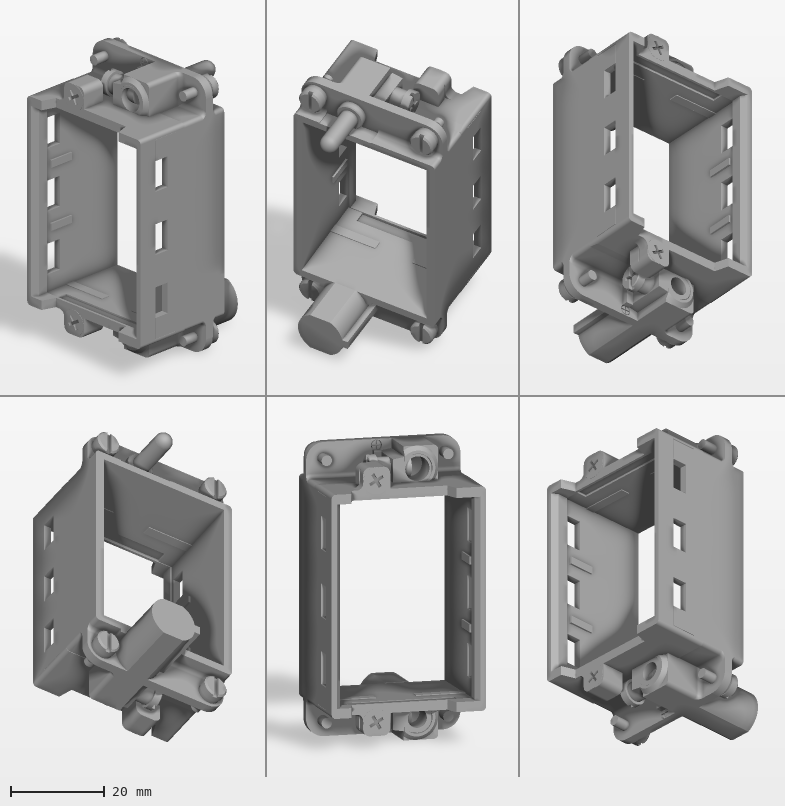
import cadquery as cq
import math

WIDTH = 34.3
HEIGHT = 64.0
FRAME_DEPTH = 25.2
FRAME_HALF = 24.4
EDGE_ROUND = 0.9
OPENING_HALF = 22.2
LIP_HALF = 15.0
MOUTH_HALF = 15.95
LIP_START = 1.35
LIP_END = 3.85
BAY_FRONT_HALF = 15.5
BAY_REAR_HALF = 15.2
BAY_TOP = 22.4
STEP_Y = 13.3
RAMP_Y = 11.25
STEP_DEPTH = 0.1
WALL_TOP = FRAME_HALF - STEP_DEPTH

NOTCH_DEPTH = 3.25
NOTCH_LEFT, NOTCH_RIGHT = -12.8, 10.55
NOTCH_SLOPE = 1.1

WINDOW_Y, WINDOW_DEPTH, WINDOW_HEIGHT = 4.5, 3.7, 7.2
WINDOW_PITCH = 14.7
RIB_Y, RIB_WIDTH, RIB_START_X = 9.9, 2.2, 4.5
WALL_RIB_Y, WALL_RIB_LENGTH, WALL_RIB_HEIGHT = 5.1, 6.2, 1.7
CHANNEL_END, CHANNEL_DEPTH, CHANNEL_HALF = 6.6, 0.5, 12.0
LINE_Y, LINE_END_Y, LINE_Z, LINE_WIDTH, LINE_DEPTH = 4.35, 10.55, 23.2, 0.1, 0.1

FLANGE_Y, FLANGE_REAR = 19.7, 21.75
FLANGE_ROUND = 4.0
ROOT_FILLET = 0.95
SCREW_X, SCREW_Z = 13.5, 28.55
SHAFT_R, SHAFT_TIP_Y = 1.15, 16.4
WASHER_R, HEAD_R = 2.6, 2.75
HEAD_Y, HEAD_REAR, HEAD_CHAMFER = 22.7, 24.8, 0.4
SLOT_WIDTH, SLOT_DEPTH = 1.0, 0.8

TERMINAL_X, TERMINAL_Z = 4.6, 27.15
TERMINAL_R, TERMINAL_LEFT, TERMINAL_LEFT_TOP = 3.2, -0.8, 29.45
TERMINAL_FRONT = 9.5
BORE_UPPER_R, BORE_LOWER_R, BORE_DEPTH = 2.7, 2.1, 5.75
HOOD_LEFT, HOOD_RIGHT, HOOD_FRONT = 1.8, 9.5, 10.25
COLLAR_FRONT, COLLAR_INNER_R = 9.35, 3.3
HOOD_ROUND = 1.0
TAB_LEFT, TAB_FRONT, TAB_TOP = -2.4, 18.25, 29.75
CLAMP_Y, CLAMP_Z = 13.25, 27.1
CLAMP_HEAD_LEFT, CLAMP_HEAD_RIGHT, CLAMP_HEAD_R = -5.6, -3.7, 2.95
CLAMP_SHAFT_R, CLAMP_TIP_X = 2.3, 3.85
CLAMP_CHAMFER = 0.2
CLAMP_SLOT_LENGTH, CLAMP_SLOT_HEIGHT = 3.3, 0.8
LOCK_X, LOCK_Z, LOCK_DEPTH = -1.55, 30.65, 0.8
LOCK_HOLE_R, LOCK_SCREW_R = 1.2, 1.0
LOCK_SLOT_WIDTH, LOCK_SLOT_DEPTH = 0.3, 0.4

POST_LEFT, POST_RIGHT, POST_TOP = -9.2, -3.2, 29.25
POST_ROUND = 1.55
POST_FRONT, POST_BACK = 3.25, 9.0
FOOT_R, FOOT_END = 1.5, 5.9
POST_GROOVE_WIDTH, POST_GROOVE_DEPTH = 0.45, 0.2
FIXING_X, FIXING_Z, FIXING_R = -6.3, 26.3, 2.95
FIXING_FRONT, FIXING_DEPTH = 3.2, 1.0
CROSS_LENGTH, CROSS_WIDTH, CROSS_DEPTH, CROSS_ANGLE = 3.3, 0.7, 0.8, 30

PIN_R, PIN_TIP_Y = 2.05, 34.25
PIN_COLLAR_R, PIN_COLLAR_REAR, PIN_COLLAR_CHAMFER = 3.15, 23.35, 0.2
BUSH_R, BUSH_FLAT, BUSH_REAR = 5.45, 4.85, 36.35
KEY_LEFT, KEY_THICKNESS = -2.05, 2.05
PLATFORM_LEFT, PLATFORM_RIGHT, PLATFORM_TOP = -1.6, 10.9, 25.1
SEAT_DEPTH = 0.2


def block(x0, x1, y0, y1, z0, z1):
    return cq.Workplane("XY").box(x1 - x0, y1 - y0, z1 - z0, centered=False).translate((x0, y0, z0))


def rod_y(x, z, radius, y0, y1):
    """Cylinder along Y."""
    return cq.Workplane("XZ", origin=(x, y0, z)).circle(radius).extrude(y0 - y1)


def rod_x(y, z, radius, x0, x1):
    """Cylinder along X."""
    return cq.Workplane("YZ", origin=(x0, y, z)).circle(radius).extrude(x1 - x0)


def prism_z(points, z0, z1):
    """Polygon in XY, extruded along Z."""
    return cq.Workplane("XY", origin=(0, 0, z0)).polyline(points).close().extrude(z1 - z0)


def both_ends(shape):
    return shape.union(shape.mirror("XY"))


def both_sides(shape):
    return shape.union(shape.mirror("YZ"))


def concave_fillet(plane, origin, du, dv, radius, length):
    """Filler for an inside corner at the plane origin; du and dv are the signs of its two legs."""
    mid = radius * (1 - math.sqrt(0.5))
    return (
        cq.Workplane(plane, origin=origin)
        .lineTo(du * radius, 0)
        .threePointArc((du * mid, dv * mid), (0, dv * radius))
        .close()
        .extrude(length)
    )


def rounded_root(x, z, corner_r, y, direction):
    """Root fillet around a rounded corner centred at (x, z), against the flange face at Y = y."""
    mid = ROOT_FILLET * (1 - math.sqrt(0.5))
    return (
        cq.Workplane("XY", origin=(x, y, z))
        .moveTo(corner_r, 0)
        .lineTo(corner_r + ROOT_FILLET, 0)
        .threePointArc((corner_r + mid, direction * mid), (corner_r, direction * ROOT_FILLET))
        .close()
        .revolve(90, (0, 0, 0), (0, -1, 0))
    )


def frame_outside():
    half = WIDTH / 2
    body = block(-half, half, 0, FRAME_DEPTH, -WALL_TOP, WALL_TOP).edges("|Y").fillet(EDGE_ROUND)
    raised = block(-half, half, 0, STEP_Y, -FRAME_HALF, FRAME_HALF).edges("|Y").fillet(EDGE_ROUND)
    ramp_cut = (
        cq.Workplane("YZ", origin=(-half, 0, 0))
        .polyline([(RAMP_Y, FRAME_HALF), (STEP_Y, WALL_TOP), (STEP_Y, FRAME_HALF)])
        .close()
        .extrude(half + HOOD_LEFT)
    )
    body = body.union(raised.cut(both_ends(ramp_cut)))

    flange = block(-half, half, FLANGE_Y, FLANGE_REAR, -HEIGHT / 2, HEIGHT / 2)
    body = body.union(flange.edges("|Y").fillet(FLANGE_ROUND))

    edge = half - EDGE_ROUND
    roots = cq.Workplane("XY")
    for y, direction in ((FLANGE_Y, -1), (FLANGE_REAR, 1)):
        corner = rounded_root(edge, WALL_TOP - EDGE_ROUND, EDGE_ROUND, y, direction)
        strip = concave_fillet("YZ", (-edge, y, WALL_TOP), direction, 1, ROOT_FILLET, 2 * edge)
        roots = roots.union(strip).union(corner).union(corner.mirror("YZ"))
    roots = roots.intersect(block(-half, half, 0, FRAME_DEPTH, 0, HEIGHT / 2))
    roots = roots.cut(block(PLATFORM_LEFT, PLATFORM_RIGHT, FLANGE_REAR, FRAME_DEPTH, 0, HEIGHT / 2))
    body = body.union(both_ends(roots))
    seat = block(
        PLATFORM_LEFT, PLATFORM_RIGHT, FLANGE_REAR, FRAME_DEPTH, WALL_TOP - SEAT_DEPTH, WALL_TOP
    )
    return body.cut(seat)


def cavity():
    """Flared mouth, lips and the wider bay behind them, less the ribs that guide the modules."""
    mouth = [
        (-MOUTH_HALF, 0),
        (MOUTH_HALF, 0),
        (LIP_HALF, LIP_START),
        (LIP_HALF, LIP_END),
        (-LIP_HALF, LIP_END),
        (-LIP_HALF, LIP_START),
    ]
    bay = [
        (-BAY_FRONT_HALF, LIP_END),
        (BAY_FRONT_HALF, LIP_END),
        (BAY_REAR_HALF, FRAME_DEPTH),
        (-BAY_REAR_HALF, FRAME_DEPTH),
    ]
    space = prism_z(mouth, -OPENING_HALF, OPENING_HALF).union(prism_z(bay, -BAY_TOP, BAY_TOP))

    end_rib = block(RIB_START_X, MOUTH_HALF, RIB_Y, RIB_Y + RIB_WIDTH, OPENING_HALF, BAY_TOP)
    middle = WINDOW_PITCH / 2
    side_rib = block(
        LIP_HALF, MOUTH_HALF, WALL_RIB_Y, WALL_RIB_Y + WALL_RIB_LENGTH,
        middle - WALL_RIB_HEIGHT / 2, middle + WALL_RIB_HEIGHT / 2,
    )
    return space.cut(both_ends(both_sides(end_rib.union(side_rib))))


def front_notches():
    outline = [
        (NOTCH_LEFT, 0),
        (NOTCH_LEFT + NOTCH_SLOPE, NOTCH_DEPTH),
        (NOTCH_RIGHT - NOTCH_SLOPE, NOTCH_DEPTH),
        (NOTCH_RIGHT, 0),
    ]
    return prism_z(outline, -FRAME_HALF, FRAME_HALF)


def wall_cuts():
    half = WIDTH / 2
    cuts = front_notches()
    for row in (-1, 0, 1):
        z = row * WINDOW_PITCH
        cuts = cuts.union(block(
            -half, half, WINDOW_Y, WINDOW_Y + WINDOW_DEPTH, z - WINDOW_HEIGHT / 2, z + WINDOW_HEIGHT / 2
        ))
    channel_top = BAY_TOP + CHANNEL_DEPTH
    cuts = cuts.union(block(
        -CHANNEL_HALF, CHANNEL_HALF, LIP_END, CHANNEL_END, -channel_top, channel_top
    ))
    window_end = WINDOW_PITCH + WINDOW_HEIGHT / 2
    for x in (-half, half - LINE_DEPTH):
        upright = block(x, x + LINE_DEPTH, LINE_Y, LINE_Y + LINE_WIDTH, window_end, LINE_Z + LINE_WIDTH)
        level = block(x, x + LINE_DEPTH, LINE_Y, LINE_END_Y, LINE_Z, LINE_Z + LINE_WIDTH)
        cuts = cuts.union(both_ends(upright.union(level)))
    return cuts


def flange_screw(x, z):
    shaft = rod_y(x, z, SHAFT_R, SHAFT_TIP_Y, HEAD_Y)
    washer = rod_y(x, z, WASHER_R, FLANGE_REAR, HEAD_Y)
    head = rod_y(x, z, HEAD_R, HEAD_Y, HEAD_REAR).faces(">Y").chamfer(HEAD_CHAMFER)
    slot = block(
        x - SLOT_WIDTH / 2, x + SLOT_WIDTH / 2, HEAD_REAR - SLOT_DEPTH, HEAD_REAR, z - HEAD_R, z + HEAD_R
    )
    return shaft.union(washer).union(head.cut(slot))


def cross(x, z, y, length, width, depth, angle):
    """Two crossed bars sunk from Y = y, for a screw drive."""
    bars = block(-length / 2, length / 2, y, y + depth, -width / 2, width / 2)
    bars = bars.union(bars.rotate((0, 0, 0), (0, 1, 0), 90))
    return bars.rotate((0, 0, 0), (0, 1, 0), -angle).translate((x, 0, z))


def terminal_hood():
    hood = block(HOOD_LEFT, HOOD_RIGHT, HOOD_FRONT, FLANGE_Y, WALL_TOP, HEIGHT / 2)
    hood = hood.edges("|Y and >X and >Z").fillet(HOOD_ROUND)
    corner_z = HEIGHT / 2 - HOOD_ROUND
    root = concave_fillet(
        "XY", (HOOD_RIGHT, FLANGE_Y, WALL_TOP), 1, -1, ROOT_FILLET, corner_z - WALL_TOP
    )
    corner = rounded_root(HOOD_RIGHT - HOOD_ROUND, corner_z, HOOD_ROUND, FLANGE_Y, -1)
    root = root.union(corner.intersect(block(
        HOOD_LEFT, WIDTH / 2, HOOD_FRONT, FLANGE_Y, corner_z, HEIGHT / 2
    )))
    outer_r = HEIGHT / 2 - TERMINAL_Z
    drop = HOOD_FRONT - COLLAR_FRONT
    collar = (
        cq.Workplane("XZ", origin=(TERMINAL_X, HOOD_FRONT, TERMINAL_Z))
        .circle(outer_r)
        .workplane(offset=drop)
        .circle(outer_r - drop)
        .loft()
    )
    collar = collar.intersect(block(
        HOOD_LEFT, HOOD_RIGHT, COLLAR_FRONT, HOOD_FRONT, WALL_TOP, HEIGHT / 2
    ))
    recess = rod_y(TERMINAL_X, TERMINAL_Z, COLLAR_INNER_R, COLLAR_FRONT, HOOD_FRONT)
    gap = block(HOOD_LEFT, TERMINAL_X, COLLAR_FRONT, HOOD_FRONT, WALL_TOP, TERMINAL_Z)
    return hood.union(root).union(collar.cut(recess).cut(gap))


def terminal_body():
    top = TERMINAL_Z + TERMINAL_R
    right = TERMINAL_X + TERMINAL_R
    diagonal = TERMINAL_R * math.sqrt(0.5)
    body = (
        cq.Workplane("XZ", origin=(0, TERMINAL_FRONT, 0))
        .moveTo(TERMINAL_LEFT, WALL_TOP)
        .lineTo(TERMINAL_LEFT, TERMINAL_LEFT_TOP)
        .lineTo(TERMINAL_X, top)
        .threePointArc((TERMINAL_X + diagonal, TERMINAL_Z + diagonal), (right, TERMINAL_Z))
        .lineTo(right, WALL_TOP)
        .close()
        .extrude(TERMINAL_FRONT - FLANGE_Y)
    )
    tab = block(TAB_LEFT, TERMINAL_LEFT, TAB_FRONT, FLANGE_Y, WALL_TOP, TAB_TOP)
    return body.union(tab)


def bore(radius):
    """Blind bore with a conical end."""
    return (
        cq.Workplane("XY")
        .polyline([
            (0, COLLAR_FRONT),
            (radius, COLLAR_FRONT),
            (radius, TERMINAL_FRONT + BORE_DEPTH),
            (0, TERMINAL_FRONT + BORE_DEPTH + radius),
        ])
        .close()
        .revolve(360, (0, 0, 0), (0, 1, 0))
        .translate((TERMINAL_X, 0, TERMINAL_Z))
    )


def clamp_screw():
    head = rod_x(CLAMP_Y, CLAMP_Z, CLAMP_HEAD_R, CLAMP_HEAD_LEFT, CLAMP_HEAD_RIGHT)
    head = head.faces("<X").chamfer(CLAMP_CHAMFER)
    slot_end = CLAMP_HEAD_LEFT + SLOT_DEPTH
    half = SLOT_WIDTH / 2
    upright = block(
        CLAMP_HEAD_LEFT, slot_end, CLAMP_Y - half, CLAMP_Y + half,
        CLAMP_Z - CLAMP_HEAD_R, CLAMP_Z + CLAMP_HEAD_R,
    )
    level = block(
        CLAMP_HEAD_LEFT, slot_end, CLAMP_Y - CLAMP_SLOT_LENGTH / 2, CLAMP_Y + CLAMP_SLOT_LENGTH / 2,
        CLAMP_Z - CLAMP_SLOT_HEIGHT / 2, CLAMP_Z + CLAMP_SLOT_HEIGHT / 2,
    )
    shaft = rod_x(CLAMP_Y, CLAMP_Z, CLAMP_SHAFT_R, CLAMP_HEAD_RIGHT, CLAMP_TIP_X)
    return head.cut(upright).cut(level).union(shaft)


def screw_post():
    """Rounded post on the end wall, with a concave foot on its left and the head of its screw."""
    base = BAY_TOP + CHANNEL_DEPTH
    post = block(POST_LEFT, POST_RIGHT, POST_FRONT, POST_BACK, base, POST_TOP)
    post = post.edges("|Y and >Z").fillet(POST_ROUND)
    groove = block(
        POST_LEFT, POST_LEFT + POST_GROOVE_DEPTH, FOOT_END, FOOT_END + POST_GROOVE_WIDTH,
        FRAME_HALF, POST_TOP,
    )
    post = post.cut(groove)
    foot = concave_fillet("XZ", (POST_LEFT, FOOT_END, FRAME_HALF), -1, 1, FOOT_R, FOOT_END - POST_FRONT)
    disc = rod_y(FIXING_X, FIXING_Z, FIXING_R, FIXING_FRONT, FIXING_FRONT + FIXING_DEPTH)
    return post.union(foot).union(disc)


def lock_screw_cut():
    """Recess around the small lock screw in the flange, plus its cross slot."""
    hole = rod_y(LOCK_X, LOCK_Z, LOCK_HOLE_R, FLANGE_Y, FLANGE_Y + LOCK_DEPTH)
    core = rod_y(LOCK_X, LOCK_Z, LOCK_SCREW_R, FLANGE_Y, FLANGE_Y + LOCK_DEPTH)
    slots = cross(LOCK_X, LOCK_Z, FLANGE_Y, 2 * LOCK_SCREW_R, LOCK_SLOT_WIDTH, LOCK_SLOT_DEPTH, 0)
    return hole.cut(core).union(slots)


def guide_pin():
    straight = rod_y(TERMINAL_X, TERMINAL_Z, PIN_R, FLANGE_REAR, PIN_TIP_Y - PIN_R)
    tip = cq.Workplane("XY").sphere(PIN_R).translate((TERMINAL_X, PIN_TIP_Y - PIN_R, TERMINAL_Z))
    collar = rod_y(TERMINAL_X, TERMINAL_Z, PIN_COLLAR_R, FLANGE_REAR, PIN_COLLAR_REAR)
    collar = collar.faces(">Y").chamfer(PIN_COLLAR_CHAMFER)
    return straight.union(tip).union(collar)


def guide_bush():
    """Round bush with flats above and below and a key on its left."""
    bush = rod_y(TERMINAL_X, -TERMINAL_Z, BUSH_R, FLANGE_REAR, BUSH_REAR)
    bush = bush.intersect(block(
        TERMINAL_X - BUSH_R, TERMINAL_X + BUSH_R, FLANGE_REAR, BUSH_REAR,
        -TERMINAL_Z - BUSH_FLAT, -TERMINAL_Z + BUSH_FLAT,
    ))
    key = block(
        KEY_LEFT, TERMINAL_X, FLANGE_REAR, BUSH_REAR,
        -TERMINAL_Z - KEY_THICKNESS / 2, -TERMINAL_Z + KEY_THICKNESS / 2,
    )
    platform = block(
        PLATFORM_LEFT, PLATFORM_RIGHT, FLANGE_REAR, FRAME_DEPTH, -PLATFORM_TOP, -OPENING_HALF
    )
    return bush.union(key).union(platform)


result = frame_outside()
result = result.union(both_ends(terminal_hood().union(terminal_body())))
result = result.union(guide_pin()).union(guide_bush())
result = result.cut(cavity()).cut(wall_cuts())
result = result.union(both_ends(screw_post()))
result = result.cut(bore(BORE_UPPER_R)).cut(bore(BORE_LOWER_R).mirror("XY"))
result = result.union(both_ends(clamp_screw()))
result = result.cut(both_ends(lock_screw_cut()))

for end in (-1, 1):
    drive = cross(
        FIXING_X, end * FIXING_Z, FIXING_FRONT, CROSS_LENGTH, CROSS_WIDTH, CROSS_DEPTH, CROSS_ANGLE
    )
    result = result.cut(drive)
    for side in (-1, 1):
        result = result.union(flange_screw(side * SCREW_X, end * SCREW_Z))